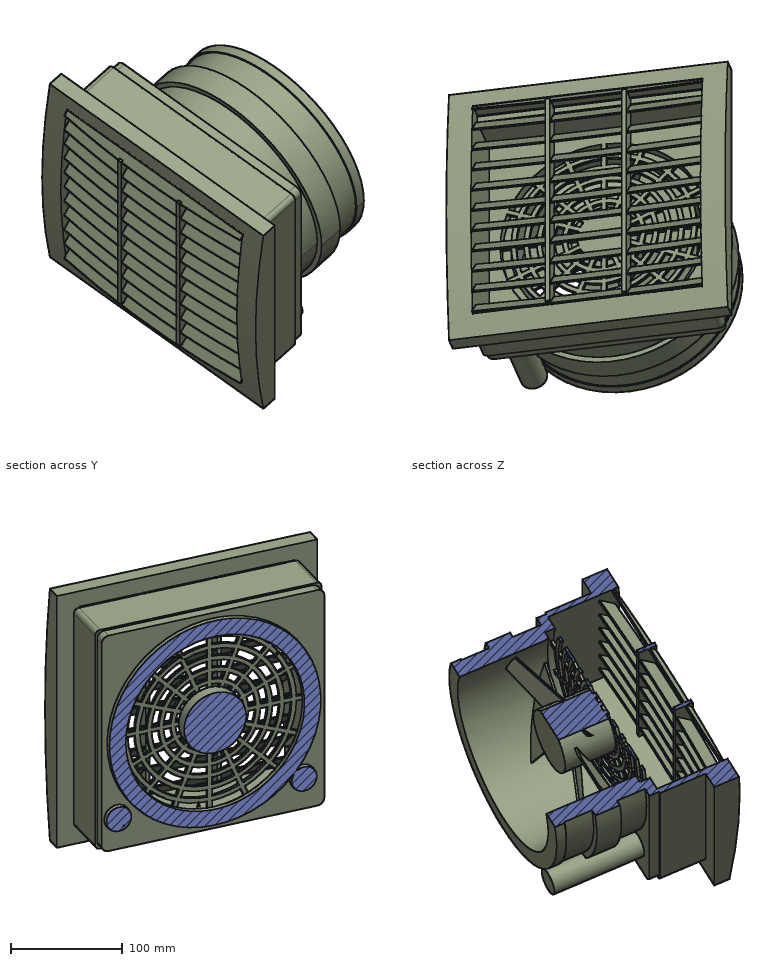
import cadquery as cq
import math


FRAME_SIZE = 257.0
FRAME_EDGE_DEPTH = 15.5
FRAME_DEPTH = 26.0
OPENING_HALF_WIDTH = 105.8
OPENING_TOP = 112.5
OPENING_BOTTOM = -OPENING_HALF_WIDTH

BOX_SIZE = 223.5
BOX_REAR = 46.0
BOX_CORNER_RADIUS = 5.0
PLATE_SIZE = 220.0
PLATE_REAR = 56.0
PLATE_CORNER_RADIUS = 7.0

DUCT_END = 147.0
DUCT_STEPS = [
    (209.2, 84.0),
    (219.5, 109.0),
    (206.91, 137.0),
    (209.2, DUCT_END),
]
DUCT_BORE = 176.0

PIPE_DIAMETER = 25.0
PIPE_X = -88.0
PIPE_Z = -77.0
STUB_X = 95.0
STUB_LENGTH = 5.0

SLAT_COUNT = 11
SLAT_PITCH = 21.22
SLAT_DROP = 15.8
SLAT_THICKNESS = 1.5
SLAT_BOW = 3.8
SLAT_TIP_Y = -25.5
LOWEST_SLAT_TIP_Z = -108.4

BAR_WIDTH = 4.0
BAR_SPACING = 2 * OPENING_HALF_WIDTH / 3
BAR_HEIGHT = 2 * OPENING_HALF_WIDTH
BAR_DEPTH = 18.0

GUARD_DIAMETER = 191.0
GUARD_THICKNESS = 3.0
GUARD_BAR = 4.6
GUARD_DISC_DIAMETER = 49.0
GUARD_RING_COUNT = 5
GUARD_RING_PITCH = 11.8
GUARD_OUTER_RING_RADIUS = 83.2
SPOKE_COUNT = 16

HUB_DIAMETER = 61.6
HUB_REAR = 100.0
BLADE_COUNT = 5
BLADE_SPAN_ANGLE = 60.0
BLADE_TIP_RADIUS = 84.0
BLADE_PITCH_ANGLE = 25.0
BLADE_THICKNESS = 2.0
BLADE_MID_Y = 80.0


def section_at(y, x=0.0, z=0.0):
    """Workplane across the fan axis; local X and Y are the part's X and Z."""
    return cq.Workplane("XZ", origin=(x, y, z))


def square_block(size, corner_radius, y_start, y_end):
    block = section_at(y_start).rect(size, size).extrude(y_start - y_end)
    return block.edges("|Y").fillet(corner_radius)


def cylinder(diameter, y_start, y_end, x=0.0, z=0.0):
    return section_at(y_start, x, z).circle(diameter / 2).extrude(y_start - y_end)


def make_frame():
    half = FRAME_SIZE / 2
    return (
        cq.Workplane("YZ", origin=(-half, 0, 0))
        .moveTo(0, -half)
        .lineTo(-FRAME_EDGE_DEPTH, -half)
        .threePointArc((-FRAME_DEPTH, 0), (-FRAME_EDGE_DEPTH, half))
        .lineTo(0, half)
        .close()
        .extrude(FRAME_SIZE)
    )


def make_opening():
    """Grille opening through the frame, leading into the square cavity of the box."""
    height = OPENING_TOP - OPENING_BOTTOM
    mid_z = (OPENING_TOP + OPENING_BOTTOM) / 2
    width = 2 * OPENING_HALF_WIDTH
    opening = section_at(-FRAME_DEPTH, z=mid_z).rect(width, height).extrude(-FRAME_DEPTH)
    cavity = section_at(0).rect(width, width).extrude(-BOX_REAR)
    return opening.union(cavity)


def make_housing():
    housing = make_frame()
    housing = housing.union(square_block(BOX_SIZE, BOX_CORNER_RADIUS, 0, BOX_REAR))
    housing = housing.union(square_block(PLATE_SIZE, PLATE_CORNER_RADIUS, BOX_REAR, PLATE_REAR))
    step_start = PLATE_REAR
    for diameter, step_end in DUCT_STEPS:
        housing = housing.union(cylinder(diameter, step_start, step_end))
        step_start = step_end
    housing = housing.union(cylinder(PIPE_DIAMETER, PLATE_REAR, DUCT_END, PIPE_X, PIPE_Z))
    housing = housing.union(
        cylinder(PIPE_DIAMETER, PLATE_REAR, PLATE_REAR + STUB_LENGTH, STUB_X, PIPE_Z)
    )
    housing = housing.cut(make_opening())
    housing = housing.cut(cylinder(GUARD_DIAMETER, BOX_REAR, PLATE_REAR))
    return housing.cut(cylinder(DUCT_BORE, PLATE_REAR, DUCT_END))


def make_slat():
    """One slat with its tip at Z = 0: a bowed strip sheared back and up at 45 degrees."""
    half = OPENING_HALF_WIDTH
    tilted_plane = cq.Plane(origin=(0, SLAT_TIP_Y, 0), xDir=(1, 0, 0), normal=(0, -1, 1))
    bow = SLAT_BOW * math.sqrt(2)
    length = SLAT_DROP * math.sqrt(2)
    return (
        cq.Workplane(tilted_plane)
        .moveTo(-half, bow)
        .threePointArc((0, 0), (half, bow))
        .lineTo(half, bow + length)
        .threePointArc((0, length), (-half, bow + length))
        .close()
        .extrude(-SLAT_THICKNESS)
    )


def make_grille():
    slat = make_slat()
    grille = None
    for side in (-1, 1):
        bar = (
            section_at(-FRAME_DEPTH, x=side * BAR_SPACING / 2)
            .rect(BAR_WIDTH, BAR_HEIGHT)
            .extrude(-BAR_DEPTH)
        )
        grille = bar if grille is None else grille.union(bar)
    for index in range(SLAT_COUNT):
        tip_z = LOWEST_SLAT_TIP_Z + index * SLAT_PITCH
        grille = grille.union(slat.translate((0, 0, tip_z)))
    return grille


def make_guard():
    """Flat wheel of concentric rings and radial spokes around a solid disc."""
    guard = cylinder(GUARD_DISC_DIAMETER, BOX_REAR, BOX_REAR + GUARD_THICKNESS)
    for index in range(GUARD_RING_COUNT):
        radius = GUARD_OUTER_RING_RADIUS - index * GUARD_RING_PITCH
        ring = (
            section_at(BOX_REAR)
            .circle(radius + GUARD_BAR / 2)
            .circle(radius - GUARD_BAR / 2)
            .extrude(-GUARD_THICKNESS)
        )
        guard = guard.union(ring)
    for index in range(SPOKE_COUNT // 2):
        spoke_pair = (
            section_at(BOX_REAR)
            .rect(GUARD_DIAMETER + GUARD_BAR, GUARD_BAR)
            .extrude(-GUARD_THICKNESS)
            .rotate((0, 0, 0), (0, 1, 0), index * 360 / SPOKE_COUNT)
        )
        guard = guard.union(spoke_pair)
    return guard


def make_blade():
    """Pitched flat blade along +X, trimmed to a sector."""
    half_angle = math.radians(BLADE_SPAN_ANGLE / 2)
    tip_x = BLADE_TIP_RADIUS * math.cos(half_angle)
    tip_z = BLADE_TIP_RADIUS * math.sin(half_angle)
    plate = (
        cq.Workplane("XY")
        .box(2 * BLADE_TIP_RADIUS, BLADE_THICKNESS, 2 * BLADE_TIP_RADIUS)
        .rotate((0, 0, 0), (1, 0, 0), BLADE_PITCH_ANGLE)
        .translate((0, BLADE_MID_Y, 0))
    )
    sector = (
        section_at(PLATE_REAR)
        .lineTo(tip_x, -tip_z)
        .threePointArc((BLADE_TIP_RADIUS, 0), (tip_x, tip_z))
        .close()
        .extrude(PLATE_REAR - DUCT_END)
    )
    return plate.intersect(sector)


def make_rotor():
    rotor = cylinder(HUB_DIAMETER, BOX_REAR + GUARD_THICKNESS, HUB_REAR)
    blade = make_blade()
    for index in range(BLADE_COUNT):
        angle = (index + 0.5) * 360 / BLADE_COUNT
        rotor = rotor.union(blade.rotate((0, 0, 0), (0, 1, 0), angle))
    return rotor


result = make_housing().union(make_grille()).union(make_guard()).union(make_rotor())